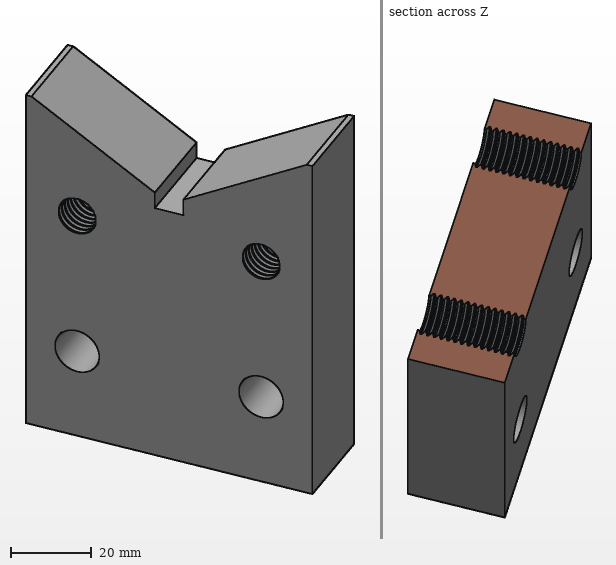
import cadquery as cq
import math

width = 78.0
thickness = 25.0
height = 97.0

flank_angle = 30.0
shoulder = 1.6
slot_width = 7.8
slot_floor_z = 73.0

hole_offset_x = 25.0
plain_hole_z = 25.0
thread_hole_z = 65.0
plain_diameter = 12.0

thread_pitch = 1.7
thread_angle = 60.0
thread_major = plain_diameter
crest_flat = thread_pitch / 4
root_flat = thread_pitch / 8
groove_mouth = thread_pitch - crest_flat
thread_depth = (groove_mouth - root_flat) / 2 / math.tan(math.radians(thread_angle / 2))
thread_minor = thread_major - 2 * thread_depth
ring_count = math.floor(thickness / thread_pitch)
first_ring_y = (thickness - (ring_count - 1) * thread_pitch) / 2


def make_block():
    """Extruded outline with the vee and relief slot in its top edge."""
    half_width = width / 2
    half_slot = slot_width / 2
    vee_x = half_width - shoulder
    vee_root_z = height - (vee_x - half_slot) * math.tan(math.radians(flank_angle))
    outline = [
        (-half_width, 0),
        (half_width, 0),
        (half_width, height),
        (vee_x, height),
        (half_slot, vee_root_z),
        (half_slot, slot_floor_z),
        (-half_slot, slot_floor_z),
        (-half_slot, vee_root_z),
        (-vee_x, height),
        (-half_width, height),
    ]
    return cq.Workplane("XZ").polyline(outline).close().extrude(-thickness)


def make_plain_hole():
    """Through-hole cutter along +Y."""
    return cq.Workplane("XZ").circle(plain_diameter / 2).extrude(-thickness)


def make_threaded_hole():
    """Bore cutter along +Y with ring grooves, as a half profile turned about Y."""
    minor_radius = thread_minor / 2
    major_radius = thread_major / 2
    profile = [(0, 0), (minor_radius, 0)]
    for ring in range(ring_count):
        middle = first_ring_y + ring * thread_pitch
        profile += [
            (minor_radius, middle - groove_mouth / 2),
            (major_radius, middle - root_flat / 2),
            (major_radius, middle + root_flat / 2),
            (minor_radius, middle + groove_mouth / 2),
        ]
    profile += [(minor_radius, thickness), (0, thickness)]
    return cq.Workplane("XY").polyline(profile).close().revolve(360, (0, 0), (0, 1))


result = make_block()
threaded_hole = make_threaded_hole()
for side in (-1, 1):
    hole_x = side * hole_offset_x
    result = result.cut(make_plain_hole().translate((hole_x, 0, plain_hole_z)))
    result = result.cut(threaded_hole.translate((hole_x, 0, thread_hole_z)))